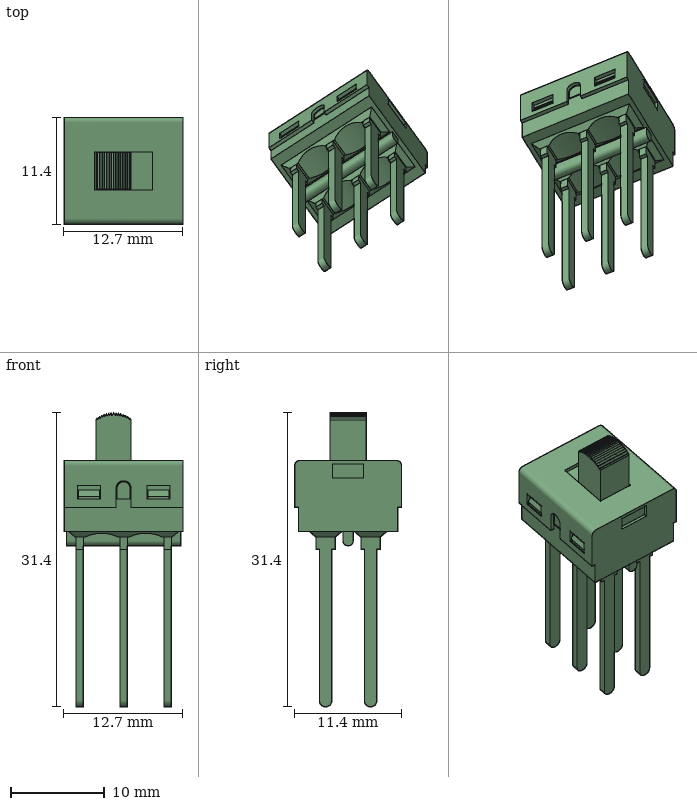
import cadquery as cq
import math


BODY_X = 12.7
COVER_Y = 11.43
COVER_TOP = 7.62
COVER_THICKNESS = 0.4
COVER_DROP = 5.02
COVER_BEND_RADIUS = 0.58
BODY_Y = COVER_Y - 2 * COVER_THICKNESS
BODY_TOP = COVER_TOP - COVER_THICKNESS
BODY_EDGE_RADIUS = COVER_BEND_RADIUS - COVER_THICKNESS
COVER_BOTTOM = COVER_TOP - COVER_DROP

OPENING_X = 6.16
OPENING_Y = 4.07

POCKET_Y = 3.3
POCKET_HEIGHT = 1.5
POCKET_DEPTH = 0.32

WINDOW_X = 2.46
WINDOW_BOTTOM = 3.47
WINDOW_HEIGHT = 1.44
WINDOW_OFFSET = 3.71
CATCH_SIDE_GAP = 0.1
CATCH_X = WINDOW_X - 2 * CATCH_SIDE_GAP
CATCH_HEIGHT = 0.97
CATCH_FLAT_HEIGHT = 0.31
CATCH_DEPTH = 0.3

NOTCH_X = 1.6
NOTCH_TOP = 5.43
KEY_GAP = 0.1
KEY_X = NOTCH_X - 2 * KEY_GAP
KEY_TOP = NOTCH_TOP - KEY_GAP
KEY_BOTTOM = WINDOW_BOTTOM
KEY_DEPTH = 0.1

SLIDER_X = 3.77
SLIDER_Y = 3.91
SLIDER_CENTER_X = -1.07
SLIDER_TOP = 12.7
CROWN_RADIUS = 3.0
SIDE_TEETH = 7
TOOTH_PITCH = 0.25
TOOTH_DEPTH = 0.3
TOOTH_RUN = 0.2

RAIL_X = 12.2
RAIL_Y = 1.1
RAIL_HEIGHT = 1.5
RAIL_EDGE_RADIUS = 0.5

PIN_PITCH_X = 4.7
PIN_ROW_Y = 2.4
PIN_THICKNESS = 0.8
PIN_WIDTH = 1.35
PIN_ROOT_WIDTH = 2.1
PIN_ROOT_LENGTH = 1.88
PIN_LENGTH = 18.7
PIN_COLUMNS = [-PIN_PITCH_X, 0, PIN_PITCH_X]
PIN_ROWS = [-PIN_ROW_Y, PIN_ROW_Y]

RESIN_X = 11.7
RESIN_Y = 3.44
RESIN_TAPER = 50
RESIN_FILM = 0.17
RESIN_HEIGHT = 0.57
RESIN_MID_HEIGHT = 0.36
RESIN_TIP = 0.6
RESIN_MID = 1.1
RESIN_FOOT = PIN_PITCH_X / 2


def box(size_x, size_y, bottom, top):
    """Box centred on the Z axis between two heights."""
    return cq.Workplane("XY").workplane(offset=bottom).rect(size_x, size_y).extrude(top - bottom)


def arch(width, bottom, top, length_y):
    """Upright slab with a semicircular top, centred on Y = 0."""
    radius = width / 2
    return (
        cq.Workplane("XZ")
        .moveTo(-radius, bottom)
        .lineTo(radius, bottom)
        .lineTo(radius, top - radius)
        .threePointArc((0, top), (-radius, top - radius))
        .close()
        .extrude(length_y / 2, both=True)
    )


def make_catches():
    """Ramped catches on both long faces at one window position, centred on X = 0."""
    face = BODY_Y / 2
    crest = face + CATCH_DEPTH
    catch_top = WINDOW_BOTTOM + CATCH_HEIGHT
    flat_top = WINDOW_BOTTOM + CATCH_FLAT_HEIGHT
    outline = [
        (-face, catch_top),
        (-crest, flat_top),
        (-crest, WINDOW_BOTTOM),
        (crest, WINDOW_BOTTOM),
        (crest, flat_top),
        (face, catch_top),
    ]
    return cq.Workplane("YZ").polyline(outline).close().extrude(CATCH_X / 2, both=True)


def make_body():
    body = box(BODY_X, BODY_Y, 0, BODY_TOP).edges("|X and >Z").fillet(BODY_EDGE_RADIUS)
    pocket = box(2 * POCKET_DEPTH, POCKET_Y, BODY_TOP - POCKET_HEIGHT, BODY_TOP)
    for end_x in (-BODY_X / 2, BODY_X / 2):
        body = body.cut(pocket.translate((end_x, 0, 0)))
    for offset in (-WINDOW_OFFSET, WINDOW_OFFSET):
        body = body.union(make_catches().translate((offset, 0, 0)))
    return body.union(arch(KEY_X, KEY_BOTTOM, KEY_TOP, BODY_Y + 2 * KEY_DEPTH))


def make_cover():
    cover = box(BODY_X, COVER_Y, COVER_BOTTOM, COVER_TOP).edges("|X and >Z").fillet(COVER_BEND_RADIUS)
    cavity = box(BODY_X, BODY_Y, COVER_BOTTOM, BODY_TOP).edges("|X and >Z").fillet(BODY_EDGE_RADIUS)
    cover = cover.cut(cavity)
    cover = cover.cut(box(OPENING_X, OPENING_Y, BODY_TOP, COVER_TOP))
    window = box(WINDOW_X, COVER_Y, WINDOW_BOTTOM, WINDOW_BOTTOM + WINDOW_HEIGHT)
    for offset in (-WINDOW_OFFSET, WINDOW_OFFSET):
        cover = cover.cut(window.translate((offset, 0, 0)))
    return cover.cut(arch(NOTCH_X, COVER_BOTTOM, NOTCH_TOP, COVER_Y))


def crown_height(x):
    """Height of the crown arc at a distance x from the middle of the slider."""
    return SLIDER_TOP - CROWN_RADIUS + math.sqrt(CROWN_RADIUS**2 - x**2)


def make_slider():
    """Saw teeth follow the crown; their steep flanks face the middle tooth, which is symmetric."""
    half = SLIDER_X / 2
    last_peak_x = SIDE_TEETH * TOOTH_PITCH
    edge_drop = TOOTH_DEPTH * (half - last_peak_x) / TOOTH_RUN
    right_teeth = []
    for i in range(SIDE_TEETH):
        peak_x = i * TOOTH_PITCH
        right_teeth.append((peak_x, crown_height(peak_x)))
        right_teeth.append((peak_x + TOOTH_RUN, crown_height(peak_x) - TOOTH_DEPTH))
    right_teeth.append((last_peak_x, crown_height(last_peak_x)))
    right_teeth.append((half, crown_height(last_peak_x) - edge_drop))
    left_teeth = [(-x, z) for x, z in reversed(right_teeth[1:])]
    outline = [(-half, BODY_TOP)] + left_teeth + right_teeth + [(half, BODY_TOP)]
    slider = cq.Workplane("XZ").polyline(outline).close().extrude(SLIDER_Y / 2, both=True)
    return slider.translate((SLIDER_CENTER_X, 0, 0))


def make_rail():
    return box(RAIL_X, RAIL_Y, -RAIL_HEIGHT, 0).edges("|X and <Z").fillet(RAIL_EDGE_RADIUS)


def make_pin():
    tip_radius = PIN_WIDTH / 2
    root = box(PIN_THICKNESS, PIN_ROOT_WIDTH, -PIN_ROOT_LENGTH, 0)
    blade = (
        cq.Workplane("YZ")
        .moveTo(-tip_radius, 0)
        .lineTo(-tip_radius, tip_radius - PIN_LENGTH)
        .threePointArc((0, -PIN_LENGTH), (tip_radius, tip_radius - PIN_LENGTH))
        .lineTo(tip_radius, 0)
        .close()
        .extrude(PIN_THICKNESS / 2, both=True)
    )
    return root.union(blade)


def make_resin():
    """Resin of one row: film and concave ridges, trimmed by the tapered sides of the pool."""
    pool = cq.Workplane("XY").rect(RESIN_X, RESIN_Y).extrude(-RESIN_HEIGHT, taper=RESIN_TAPER)
    ridge = (
        cq.Workplane("XZ")
        .moveTo(-RESIN_FOOT, 0)
        .lineTo(-RESIN_FOOT, -RESIN_FILM)
        .threePointArc((-RESIN_MID, -RESIN_MID_HEIGHT), (-RESIN_TIP, -RESIN_HEIGHT))
        .lineTo(RESIN_TIP, -RESIN_HEIGHT)
        .threePointArc((RESIN_MID, -RESIN_MID_HEIGHT), (RESIN_FOOT, -RESIN_FILM))
        .lineTo(RESIN_FOOT, 0)
        .close()
        .extrude(RESIN_Y / 2, both=True)
    )
    resin = box(RESIN_X, RESIN_Y, -RESIN_FILM, 0)
    for x in PIN_COLUMNS:
        resin = resin.union(ridge.translate((x, 0, 0)))
    return resin.intersect(pool)


switch = make_body().union(make_rail())
for row_y in PIN_ROWS:
    switch = switch.union(make_resin().translate((0, row_y, 0)))
    for column_x in PIN_COLUMNS:
        switch = switch.union(make_pin().translate((column_x, row_y, 0)))
switch = switch.union(make_slider())

result = switch.union(make_cover(), clean=False)